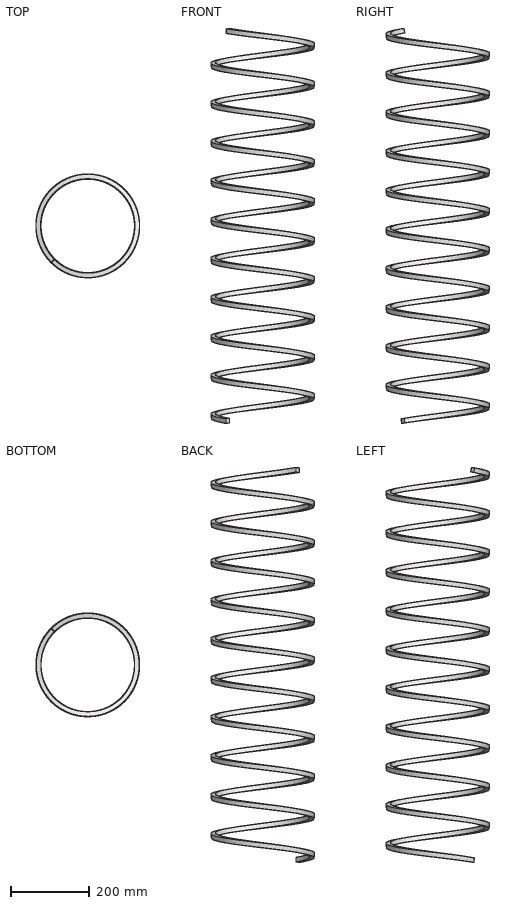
import cadquery as cq
import math

overall_height = 1013.0
outer_diameter = 266.0
wire_side = 12.0
turns = 10
tilt = 7.0
end_angle = 225.0

section_reach = wire_side * (math.cos(math.radians(tilt)) + math.sin(math.radians(tilt)))
coil_radius = (outer_diameter - section_reach) / 2
helix_height = overall_height - section_reach
pitch = helix_height / turns

centre_line = cq.Wire.makeHelix(pitch, helix_height, coil_radius, lefthand=True)

rise_per_radian = pitch / (2 * math.pi)
section_plane = cq.Plane(
    origin=(coil_radius, 0, 0),
    xDir=(1, 0, 0),
    normal=(0, -coil_radius, rise_per_radian),
)
coil = (
    cq.Workplane(section_plane)
    .transformed(rotate=(0, 0, -tilt))
    .rect(wire_side, wire_side)
    .sweep(cq.Workplane(obj=centre_line), isFrenet=True)
)

result = coil.rotate((0, 0, 0), (0, 0, 1), end_angle).translate((0, 0, -helix_height / 2))